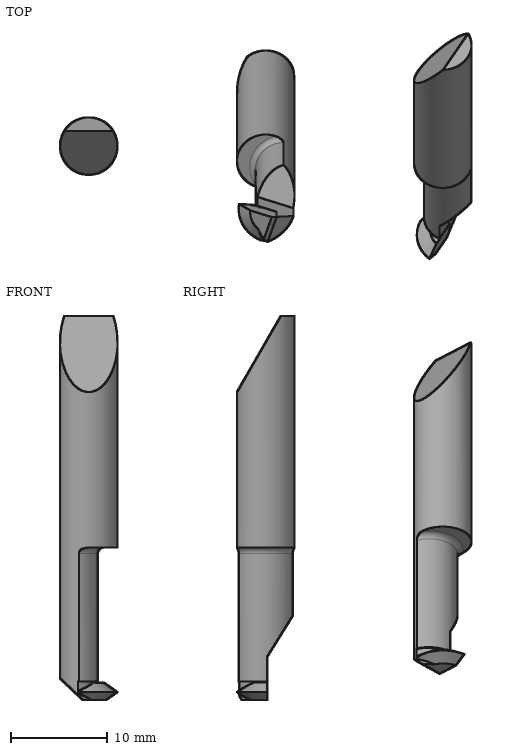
import cadquery as cq
import math

length = 40.0
shank_radius = 3.0
shoulder_z = 15.9
neck_offset = 2.05
neck_fillet = 0.6
bevel_top_y = 1.55
bevel_bottom_z = 32.1
rake_y = 0.15
relief_top_z = 9.1
relief_bottom_z = 4.5
heel_z = 2.3
heel_end_x = -0.6

head_top_z = 1.95
edge_z = 0.85
land_inset = 1.4
land_z = 1.85
bottom_inset = 1.2
rim_x = -0.75
rim_y = 0.85
undercut_depth = 0.25

margin = 2.0
reach = shank_radius + margin
undercut_offset = neck_offset + undercut_depth
rim_radius = math.hypot(shank_radius - rim_x, rake_y - rim_y)
split_x = -undercut_offset / 2


def side_prism(points):
    """Extrude a (Y, Z) outline through the full width in X."""
    return cq.Workplane("YZ").polyline(points).close().extrude(reach, both=True)


def block(x_min, x_max, z_min, z_max):
    """Block spanning the full depth in Y."""
    size_x = x_max - x_min
    size_z = z_max - z_min
    return (
        cq.Workplane("XY")
        .box(size_x, 2 * reach, size_z, centered=(False, True, False))
        .translate((x_min, 0, z_min))
    )


def shank_cylinder(height):
    return cq.Workplane("XY").circle(shank_radius).extrude(height)


def neck_side():
    """Cylinder of the neck's +X side, flaring through a fillet into the shoulder."""
    bend = neck_fillet * (1 - math.sqrt(0.5))
    flare_radius = shank_radius + neck_fillet
    return (
        cq.Workplane("XZ")
        .lineTo(shank_radius, 0)
        .lineTo(shank_radius, shoulder_z - neck_fillet)
        .threePointArc(
            (shank_radius + bend, shoulder_z - bend),
            (flare_radius, shoulder_z),
        )
        .lineTo(0, shoulder_z)
        .close()
        .revolve(360, (0, 0, 0), (0, 1, 0))
        .translate((-neck_offset, 0, 0))
    )


def bevel_cut():
    """Wedge removed from the -Y side of the upper end."""
    slope = (length - bevel_bottom_z) / (bevel_top_y + shank_radius)
    return side_prism([
        (-reach, bevel_bottom_z - margin * slope),
        (bevel_top_y + margin, length + margin * slope),
        (-reach, length + margin * slope),
    ])


def rake_cut():
    """Material removed on the +Y side, down to the cutting face and up its relief."""
    slope = (relief_top_z - relief_bottom_z) / (shank_radius - rake_y)
    return side_prism([
        (rake_y, -margin),
        (reach, -margin),
        (reach, relief_top_z + margin * slope),
        (rake_y, relief_bottom_z),
    ])


def heel_cut():
    """Slanted clearance below the -X side of the lower end."""
    slope = heel_z / (shank_radius + heel_end_x)
    return (
        cq.Workplane("XZ")
        .polyline([
            (-reach, heel_z + margin * slope),
            (heel_end_x + margin, -margin * slope),
            (-reach, -margin * slope),
        ])
        .close()
        .extrude(reach, both=True)
    )


def make_shank():
    body = shank_cylinder(length).cut(bevel_cut())
    neck_clearance = block(-reach, reach, 0, shoulder_z).cut(neck_side())
    body = body.cut(neck_clearance)
    head_seat = block(split_x, reach, 0, head_top_z)
    return body.cut(head_seat).cut(rake_cut()).cut(heel_cut())


def make_cutting_head():
    stem_side = (
        cq.Workplane("XY")
        .center(-undercut_offset, 0)
        .circle(shank_radius)
        .extrude(head_top_z)
    )
    stem = shank_cylinder(head_top_z).intersect(stem_side)
    cutting_rim = (
        cq.Workplane("XZ")
        .polyline([
            (0, 0),
            (rim_radius - bottom_inset, 0),
            (rim_radius, edge_z),
            (rim_radius - land_inset, land_z),
            (0, land_z),
        ])
        .close()
        .revolve(360, (0, 0, 0), (0, 1, 0))
        .translate((rim_x, rim_y, 0))
        .intersect(shank_cylinder(head_top_z))
    )
    head = stem.union(cutting_rim).intersect(block(split_x, reach, 0, head_top_z))
    return head.cut(rake_cut()).cut(heel_cut())


shank = make_shank()
cutting_head = make_cutting_head()
result = cq.Compound.makeCompound([shank.val(), cutting_head.val()])